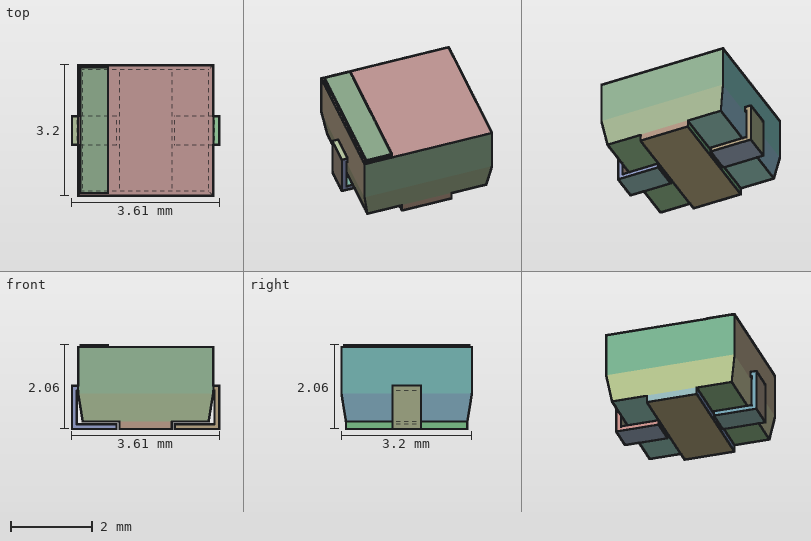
import cadquery as cq

overall_length = 3.61
overall_height = 2.06

housing_length = 3.305
housing_width = 3.2
housing_bottom = 0.18
waist_height = 0.87
bottom_inset = 0.112
foot_length = 1.285

marker_thickness = 0.05
marker_length = 0.668
marker_margin = 0.065

terminal_width = 0.705
terminal_height = 1.065
terminal_thickness = 0.123
terminal_foot_length = 1.095

housing_top = overall_height - marker_thickness
bottom_length = housing_length - 2 * bottom_inset
bottom_width = housing_width - 2 * bottom_inset


def make_housing():
    """Block with a tapered lower half and a central standing foot."""
    upper = (
        cq.Workplane("XY", origin=(0, 0, waist_height))
        .rect(housing_length, housing_width)
        .extrude(housing_top - waist_height)
    )
    lower = (
        cq.Workplane("XY", origin=(0, 0, housing_bottom))
        .rect(bottom_length, bottom_width)
        .workplane(offset=waist_height - housing_bottom)
        .rect(housing_length, housing_width)
        .loft(ruled=True)
    )
    foot = cq.Workplane("XY").rect(foot_length, bottom_width).extrude(housing_bottom)
    return upper.union(lower).union(foot)


def make_marker():
    """Thin stripe lying on the housing top, near its -X edge."""
    centre_x = -housing_length / 2 + marker_margin + marker_length / 2
    return (
        cq.Workplane("XY", origin=(centre_x, 0, housing_top))
        .rect(marker_length, housing_width - 2 * marker_margin)
        .extrude(marker_thickness)
    )


def make_terminal(side):
    """C-shaped strip from the housing wall down to a foot; side is -1 or +1 along X."""
    outer_x = side * overall_length / 2
    inner_x = outer_x - side * terminal_thickness
    wall_x = side * housing_length / 2
    foot_end_x = outer_x - side * terminal_foot_length
    tab_bottom = terminal_height - terminal_thickness
    profile = [
        (outer_x, 0),
        (outer_x, terminal_height),
        (wall_x, terminal_height),
        (wall_x, tab_bottom),
        (inner_x, tab_bottom),
        (inner_x, terminal_thickness),
        (foot_end_x, terminal_thickness),
        (foot_end_x, 0),
    ]
    return cq.Workplane("XZ").polyline(profile).close().extrude(terminal_width / 2, both=True)


housing = make_housing()
marker = make_marker()
terminals = [make_terminal(side) for side in (-1, 1)]

result = cq.Compound.makeCompound(
    [housing.val(), marker.val(), *[terminal.val() for terminal in terminals]]
)